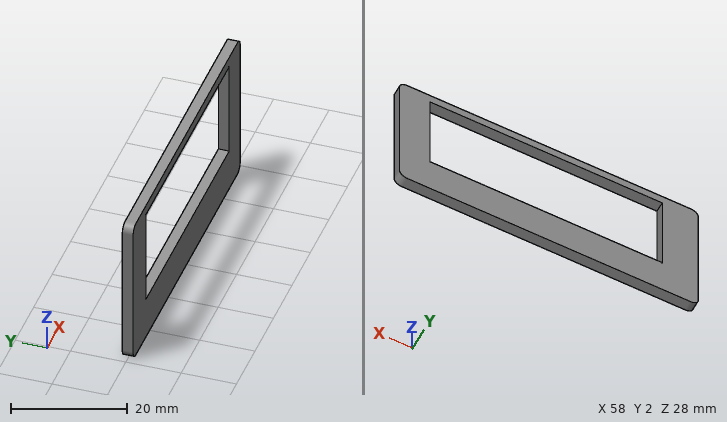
import cadquery as cq

plate_width = 58.0
plate_thickness = 2.0
plate_height = 28.0
corner_radius = 1.5

window_width = 45.0
window_height = 18.0
left_margin = 7.0
top_margin = 2.0

window_center_x = -plate_width / 2 + left_margin + window_width / 2
window_center_z = plate_height / 2 - top_margin - window_height / 2

plate = (
    cq.Workplane("XY")
    .box(plate_width, plate_thickness, plate_height)
    .edges("|Y")
    .fillet(corner_radius)
)

window = (
    cq.Workplane("XY")
    .box(window_width, plate_thickness, window_height)
    .translate((window_center_x, 0, window_center_z))
)

result = plate.cut(window)